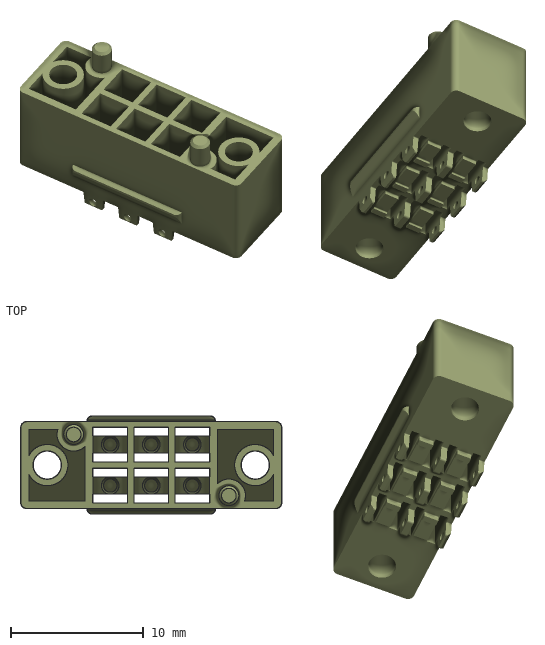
import cadquery as cq

length = 19.7
width = 6.58
height = 7.6
corner_radius = 0.5

cell_pitch = 3.1
cell_size = 2.6
cell_columns = [-cell_pitch, 0.0, cell_pitch]
cell_rows = [-cell_pitch / 2, cell_pitch / 2]
web = cell_pitch - cell_size

bar_width = 1.3
bar_height = 2.38
bore_diameter = 1.0
bore_depth = 1.97
countersink_diameter = 1.32
foot_half_length = 1.05
foot_width = 1.15
foot_drop = 0.3
foot_lip_drop = 0.47
foot_lip_length = 0.45
foot_lip_fillet = 0.05

end_wall = 0.63
pocket_side_wall = 0.6
pocket_length = 4.22
pocket_width = width - 2 * pocket_side_wall
pocket_floor = 0.6
pocket_x = length / 2 - end_wall - pocket_length / 2

screw_x = 7.85
screw_hole_diameter = 2.1
screw_boss_diameter = 3.11
pin_x = 5.85
pin_y = 2.3
pin_diameter = 1.5
pin_boss_diameter = 2.5
pin_height = 2.03
pin_chamfer = 0.2

ridge_length = 9.7
ridge_depth = 0.41
ridge_bottom = 1.18
ridge_top = 2.38
ridge_flat = 0.1
ridge_face_bottom = 2.07
ridge_face_top = 2.27
ridge_corner_radius = 0.41

tab_top_half = 0.85
tab_bottom_half = 0.7
tab_drop = 1.35
tab_corner_radius = 0.18
tab_hole_diameter = 0.65
tab_hole_drop = 0.67
tab_bevel_height = 0.3
tab_bevel_depth = 0.25
root_flare = 0.08

side_wall = width / 2 - cell_rows[1] - cell_size / 2


def cylinder(x, y, bottom, top, diameter):
    """Vertical cylinder between two levels."""
    return cq.Workplane("XY", origin=(x, y, bottom)).circle(diameter / 2).extrude(top - bottom)


def plate_across_y(outline, y, thickness):
    """Extrude a closed XZ outline into a plate centred on y."""
    return outline.extrude(thickness / 2, both=True).translate((0, y, 0))


def make_housing():
    """Rounded block pierced by the grid of contact cells."""
    block = cq.Workplane("XY").box(length, width, height, centered=(True, True, False))
    block = block.edges("|Z").fillet(corner_radius)
    cells = (
        cq.Workplane("XY")
        .rarray(cell_pitch, cell_pitch, len(cell_columns), len(cell_rows))
        .rect(cell_size, cell_size)
        .extrude(height)
    )
    return block.cut(cells)


def make_end_fitting(side):
    """Cutter that leaves the bosses, plus the pin, for one end; side is -1 (left) or +1 (right)."""
    x_screw = side * screw_x
    x_pin = side * pin_x
    y_pin = -side * pin_y
    pocket = (
        cq.Workplane("XY", origin=(side * pocket_x, 0, pocket_floor))
        .rect(pocket_length, pocket_width)
        .extrude(height - pocket_floor)
    )
    pocket = pocket.cut(cylinder(x_screw, 0, 0, height, screw_boss_diameter))
    pocket = pocket.cut(cylinder(x_pin, y_pin, 0, height, pin_boss_diameter))
    screw_hole = cylinder(x_screw, 0, 0, height, screw_hole_diameter)
    pin = cylinder(x_pin, y_pin, pocket_floor, height + pin_height, pin_diameter)
    pin = pin.faces(">Z").chamfer(pin_chamfer)
    return pocket.union(screw_hole), pin


def make_ridge():
    """Latch ridge on the -Y side: bevelled section with rounded outer corners."""
    wall = -width / 2
    root = wall + side_wall / 2
    tip = wall - ridge_depth
    section = [
        (root, ridge_bottom),
        (wall, ridge_bottom),
        (tip, ridge_face_bottom),
        (tip, ridge_face_top),
        (wall - ridge_flat, ridge_top),
        (root, ridge_top),
    ]
    bar = cq.Workplane("YZ").polyline(section).close().extrude(ridge_length / 2, both=True)
    plan = (
        cq.Workplane("XY")
        .box(ridge_length, 2 * (root - tip), height, centered=(True, True, False))
        .edges("|Z")
        .fillet(ridge_corner_radius)
        .translate((0, root, 0))
    )
    return bar.intersect(plan)


def countersink_cone(x, y):
    """Cutter for the 45-degree countersink at the mouth of a bore."""
    depth = (countersink_diameter - bore_diameter) / 2
    bottom = cq.Vector(x, y, bar_height - depth)
    cone = cq.Solid.makeCone(bore_diameter / 2, countersink_diameter / 2, depth, pnt=bottom)
    return cq.Workplane(cone)


def make_contact(x, y):
    """Bar across a cell with a countersunk bore, and a foot with a lip on its +X end."""
    bar = (
        cq.Workplane("XY", origin=(x, y, 0))
        .box(cell_size, bar_width, bar_height, centered=(True, True, False))
        .faces(">Z")
        .workplane()
        .hole(bore_diameter, bore_depth)
        .cut(countersink_cone(x, y))
    )
    half = foot_half_length
    lip_x = half - foot_lip_length
    outline = (
        cq.Workplane("XZ", origin=(x, 0, 0))
        .moveTo(-half - root_flare, 0)
        .radiusArc((-half, -root_flare), root_flare)
        .lineTo(-half, -foot_drop)
        .lineTo(lip_x - foot_lip_fillet, -foot_drop)
        .radiusArc((lip_x, -foot_drop - foot_lip_fillet), foot_lip_fillet)
        .lineTo(lip_x, -foot_lip_drop)
        .lineTo(half, -foot_lip_drop)
        .lineTo(half, -root_flare)
        .radiusArc((half + root_flare, 0), root_flare)
        .close()
    )
    return bar.union(plate_across_y(outline, y, foot_width))


def make_tab(x, y, thickness):
    """Tapered tab with rounded lower corners and a cross hole."""
    outline = (
        cq.Workplane("XZ", origin=(x, 0, 0))
        .moveTo(-tab_top_half - root_flare, 0)
        .radiusArc((-tab_top_half, -root_flare), root_flare)
        .lineTo(-tab_bottom_half, -tab_drop)
        .lineTo(tab_bottom_half, -tab_drop)
        .lineTo(tab_top_half, -root_flare)
        .radiusArc((tab_top_half + root_flare, 0), root_flare)
        .close()
    )
    tab = plate_across_y(outline, y, thickness)
    tab = tab.faces("<Z").edges("|Y").fillet(tab_corner_radius)
    hole = cq.Workplane("XZ", origin=(x, 0, -tab_hole_drop)).circle(tab_hole_diameter / 2)
    return tab.cut(plate_across_y(hole, y, thickness))


def make_tab_bevel(side):
    """Cutter that bevels the lower outside edge of a row of outer tabs."""
    face = side * width / 2
    section = [
        (face, -tab_drop + tab_bevel_height),
        (face, -tab_drop),
        (face - side * tab_bevel_depth, -tab_drop),
    ]
    return cq.Workplane("YZ").polyline(section).close().extrude(length / 2, both=True)


result = make_housing()

for end in (-1, 1):
    end_cutter, guide_pin = make_end_fitting(end)
    result = result.cut(end_cutter).union(guide_pin)

ridge = make_ridge()
result = result.union(ridge).union(ridge.mirror("XZ"))

outer_tab_y = (width - side_wall) / 2
for column in cell_columns:
    for row in cell_rows:
        result = result.union(make_contact(column, row))
    result = result.union(make_tab(column, 0, web))
    for end in (-1, 1):
        result = result.union(make_tab(column, end * outer_tab_y, side_wall))

for end in (-1, 1):
    result = result.cut(make_tab_bevel(end))